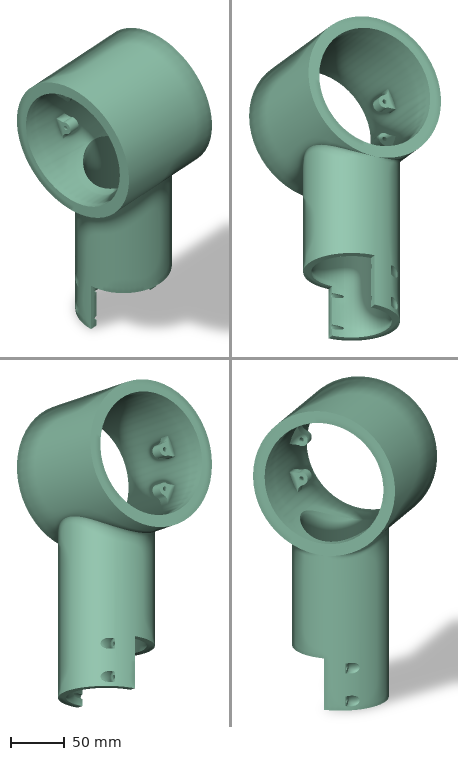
import cadquery as cq
import math

ring_outer_diameter = 140.0
ring_bore_diameter = 117.2
ring_depth = 115.0
ring_outer_radius = ring_outer_diameter / 2
ring_front_y = -ring_depth / 2
ring_back_y = ring_depth / 2

lug_hole_x = 45.2
lug_hole_z = 18.8
lug_hole_diameter = 4.4
lug_boss_radius = 6.0
lug_flat_z = 13.5
lug_side_x = 48.7
lug_slope_angle = 25.0
lug_fillet_radius = 6.7
lug_front_y = -17.5
lug_thickness = 11.0

total_height = 290.0
handle_diameter = 90.0
handle_radius = handle_diameter / 2
handle_bore_diameter = 75.0
handle_y = ring_back_y - handle_radius
handle_bottom_z = ring_outer_radius - total_height
notch_height = 50.0

screw_spacing_y = 76.0
screw_low_height = 9.0
screw_spacing_z = 32.0
screw_hole_diameter = 4.4
screw_head_diameter = 10.5
screw_seat_x = -19.7


def cylinder_along_y(diameter, x=0, z=0, front_y=ring_front_y, length=ring_depth):
    return cq.Workplane("XZ", origin=(x, front_y, z)).circle(diameter / 2).extrude(-length)


def cylinder_along_z(diameter):
    """Cylinder on the handle axis, from the handle's lower end up to the height of the ring axis."""
    plane = cq.Workplane("XY", origin=(0, handle_y, handle_bottom_z))
    return plane.circle(diameter / 2).extrude(-handle_bottom_z)


def make_lug_web():
    """Web from the boss out into the ring wall; its upper side is a slope with a concave blend."""
    angle = math.radians(lug_slope_angle)
    fillet_x = lug_side_x - lug_fillet_radius
    fillet_offset = lug_boss_radius + lug_fillet_radius
    rise = fillet_offset + (fillet_x - lug_hole_x) * math.sin(angle)
    fillet_z = lug_hole_z + rise / math.cos(angle)

    def on_fillet(degrees):
        turn = math.radians(degrees)
        return (
            fillet_x + lug_fillet_radius * math.cos(turn),
            fillet_z + lug_fillet_radius * math.sin(turn),
        )

    boss_tangent = (
        lug_hole_x - lug_boss_radius * math.sin(angle),
        lug_hole_z + lug_boss_radius * math.cos(angle),
    )
    fillet_start = lug_slope_angle - 90
    return (
        cq.Workplane("XZ", origin=(0, lug_front_y, 0))
        .moveTo(lug_hole_x, lug_flat_z)
        .lineTo(ring_outer_radius, lug_flat_z)
        .lineTo(ring_outer_radius, ring_outer_radius)
        .lineTo(lug_side_x, ring_outer_radius)
        .lineTo(*on_fillet(0))
        .threePointArc(on_fillet(fillet_start / 2), on_fillet(fillet_start))
        .lineTo(*boss_tangent)
        .lineTo(lug_hole_x, lug_hole_z)
        .close()
        .extrude(-lug_thickness)
    )


def make_lug():
    """Lug at +X, +Z; it runs into the middle of the ring wall so that it joins the ring."""
    place = (lug_hole_x, lug_hole_z, lug_front_y, lug_thickness)
    boss = cylinder_along_y(2 * lug_boss_radius, *place)
    hole = cylinder_along_y(lug_hole_diameter, *place)
    wall_middle = cylinder_along_y((ring_bore_diameter + ring_outer_diameter) / 2)
    return boss.union(make_lug_web()).intersect(wall_middle).cut(hole)


def make_ring():
    ring = cylinder_along_y(ring_outer_diameter)
    ring = ring.cut(cylinder_along_y(ring_bore_diameter))
    ring = ring.cut(cylinder_along_z(handle_bore_diameter))
    lug = make_lug()
    upper_lugs = lug.union(lug.mirror("YZ"))
    return ring.union(upper_lugs).union(upper_lugs.mirror("XY"))


def cut_notch(handle):
    """Remove the +X half of the handle's lower end."""
    notch = cq.Workplane("XY", origin=(0, handle_y, handle_bottom_z)).box(
        handle_radius, handle_diameter, notch_height, centered=(False, True, False)
    )
    return handle.cut(notch)


def cut_screw_holes(handle):
    """Counterbored holes along X, in two rows, entered from the -X side."""
    for side in (-1, 1):
        for row in (0, 1):
            y = handle_y + side * screw_spacing_y / 2
            z = handle_bottom_z + screw_low_height + row * screw_spacing_z
            seat = cq.Workplane("YZ", origin=(screw_seat_x, y, z))
            handle = handle.cut(seat.circle(screw_hole_diameter / 2).extrude(-screw_seat_x))
            handle = handle.cut(seat.circle(screw_head_diameter / 2).extrude(-handle_radius))
    return handle


def make_handle():
    """Tube whose top end is shaped to sit against the outside of the ring."""
    handle = cylinder_along_z(handle_diameter)
    handle = handle.cut(cylinder_along_y(ring_outer_diameter))
    handle = handle.cut(cylinder_along_z(handle_bore_diameter))
    return cut_screw_holes(cut_notch(handle))


ring = make_ring()
handle = make_handle()

result = cq.Compound.makeCompound([ring.val(), handle.val()])